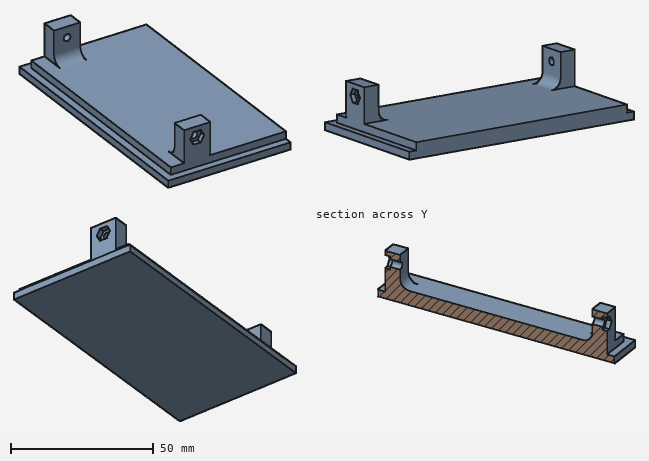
import cadquery as cq
import math

length = 97.0
depth = 51.0
height = 19.2
base_thickness = 2.9

panel_inset = 3.0
panel_thickness = 3.0
panel_length = length - 2 * panel_inset
panel_top = base_thickness + panel_thickness

post_thickness = 6.2
post_width = 11.0
post_setback = 5.5
post_height = height - panel_top
post_outer_x = panel_length / 2
post_inner_x = post_outer_x - post_thickness
post_center_y = panel_inset + post_setback + post_width / 2
fillet_radius = 3.9

hole_diameter = 2.8
hole_drop = 4.5
hole_z = height - hole_drop
nut_across_flats = 5.0
nut_across_corners = nut_across_flats / math.cos(math.pi / 6)
nut_depth = 2.0


def make_plates():
    base = cq.Workplane("XY").box(length, depth, base_thickness, centered=(True, False, False))
    panel = (
        cq.Workplane("XY", origin=(0, panel_inset, base_thickness))
        .box(panel_length, depth - panel_inset, panel_thickness, centered=(True, False, False))
    )
    return base.union(panel)


def make_right_post():
    """Post at the +X end, with a concave fillet running down to the panel."""
    arc_offset = fillet_radius * (1 - math.sqrt(0.5))
    post = (
        cq.Workplane("XZ", origin=(0, post_center_y, 0))
        .moveTo(post_outer_x, panel_top)
        .lineTo(post_outer_x, panel_top + post_height)
        .lineTo(post_inner_x, panel_top + post_height)
        .lineTo(post_inner_x, panel_top + fillet_radius)
        .threePointArc(
            (post_inner_x - arc_offset, panel_top + arc_offset),
            (post_inner_x - fillet_radius, panel_top),
        )
        .close()
        .extrude(post_width / 2, both=True)
    )
    hole = (
        cq.Workplane("YZ", origin=(post_inner_x, post_center_y, hole_z))
        .circle(hole_diameter / 2)
        .extrude(post_thickness)
    )
    nut_pocket = (
        cq.Workplane("YZ", origin=(post_outer_x - nut_depth, post_center_y, hole_z))
        .polygon(6, nut_across_corners)
        .extrude(nut_depth)
    )
    return post.cut(hole).cut(nut_pocket)


right_post = make_right_post()
left_post = right_post.mirror("YZ")
result = make_plates().union(right_post).union(left_post)